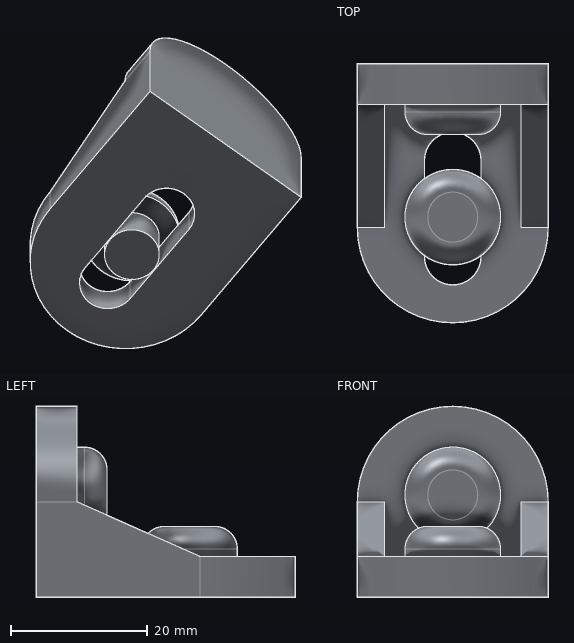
import cadquery as cq

length = 38.0
width = 28.0
height = 28.0
thickness = 6.0
rib_width = 4.03
end_radius = width / 2
wall_front = length - thickness
wall_arc_height = height - end_radius

slot_width = 8.25
slot_front = 5.6
slot_back = 27.93

head_diameter = 14.02
head_height = 4.4
head_fillet = 3.35
shank_diameter = 8.0
base_bolt_y = 15.5
wall_bolt_z = 15.0


def rounded_plate(plane, straight_length):
    """Plate with a straight edge on the local x axis and a semicircular far end."""
    return (
        cq.Workplane(plane)
        .moveTo(-end_radius, 0)
        .lineTo(end_radius, 0)
        .lineTo(end_radius, straight_length)
        .threePointArc((0, straight_length + end_radius), (-end_radius, straight_length))
        .close()
        .extrude(thickness)
    )


def side_rib(x_start):
    """Sloping gusset between the base and the wall."""
    return (
        cq.Workplane("YZ", origin=(x_start, 0, 0))
        .moveTo(length, 0)
        .lineTo(end_radius, 0)
        .lineTo(end_radius, thickness)
        .lineTo(wall_front, wall_arc_height)
        .lineTo(length, wall_arc_height)
        .close()
        .extrude(rib_width)
    )


def bolt(seat):
    """Bolt with its head above the seat plane and its shank flush with the plate's far side."""
    head = (
        cq.Workplane(seat)
        .circle(head_diameter / 2)
        .extrude(head_height)
        .faces(cq.selectors.DirectionMinMaxSelector(seat.zDir))
        .edges()
        .fillet(head_fillet)
    )
    shank = cq.Workplane(seat).circle(shank_diameter / 2).extrude(-thickness)
    return head.union(shank)


base_plane = cq.Plane(origin=(0, length, 0), xDir=(-1, 0, 0), normal=(0, 0, 1))
base = rounded_plate(base_plane, length - end_radius)
slot = (
    cq.Workplane("XY", origin=(0, (slot_front + slot_back) / 2, 0))
    .slot2D(slot_back - slot_front, slot_width, 90)
    .extrude(thickness)
)

wall_plane = cq.Plane(origin=(0, length, 0), xDir=(1, 0, 0), normal=(0, -1, 0))
wall = rounded_plate(wall_plane, wall_arc_height)

bracket = base.cut(slot).union(wall)
for x_start in (-end_radius, end_radius - rib_width):
    bracket = bracket.union(side_rib(x_start))

base_seat = cq.Plane(origin=(0, base_bolt_y, thickness), xDir=(1, 0, 0), normal=(0, 0, 1))
wall_seat = cq.Plane(origin=(0, wall_front, wall_bolt_z), xDir=(1, 0, 0), normal=(0, -1, 0))

result = bracket.union(bolt(base_seat)).union(bolt(wall_seat))